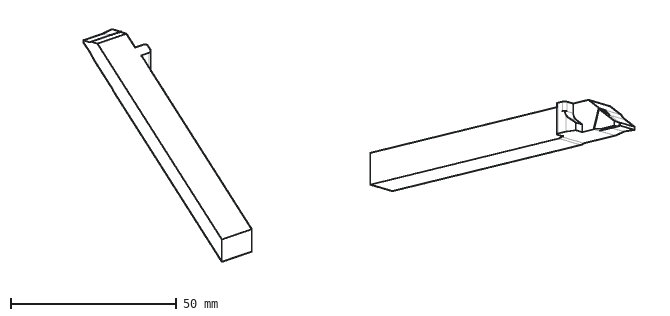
import cadquery as cq
import math

length = 100.0
shank = 10.0
nose_x = 0.7
relief = 0.3
relief_start_x = 21.4
relief_end_x = 22.6

slope = math.tan(math.radians(38))
slope_top_x = 10.9
seat_drop = 0.5
seat_wall_x = 6.4
seat_arc_x = 4.6

insert_width = 3.0
insert_top_drop = 0.2
insert_bottom = -0.2
insert_flat_x = 5.0
insert_end_x = 8.5
insert_taper = 0.4
insert_lift = 0.6

lug_front_x = 13.4
lug_wall_x = 17.1
lug_end_x = 20.9
lug_side_y = 13.5
lug_nose_y = 12.6
lug_flare_x = 16.7
lug_corner = 1.0
lug_nose_z = 2.7
lug_arc_x = 15.8
lug_arc_z = lug_nose_z + slope * (lug_arc_x - lug_front_x)
lug_arc_top_z = 7.0


def slope_z(x):
    """Height of the sloped head face at position x."""
    return shank - slope * (slope_top_x - x)


def along_y(outline, y_start, y_end):
    """Extrude a closed XZ outline between two Y positions."""
    return outline.close().extrude(-(y_end - y_start)).translate((0, y_start, 0))


def make_shank():
    outline = (
        cq.Workplane("XZ")
        .moveTo(nose_x, 2 * relief)
        .lineTo(nose_x, slope_z(nose_x) - seat_drop)
        .lineTo(seat_arc_x, slope_z(seat_arc_x) - seat_drop)
        .tangentArcPoint((seat_wall_x, slope_z(seat_wall_x)), relative=False)
        .lineTo(slope_top_x, shank)
        .lineTo(length, shank)
        .lineTo(length, 0)
        .lineTo(relief_end_x, 0)
        .lineTo(relief_start_x, relief)
        .lineTo(insert_end_x, relief)
        .lineTo(insert_flat_x, 3 * relief)
    )
    bar = along_y(outline, 0, shank)
    side_relief = cq.Workplane("XY").box(lug_wall_x, relief, shank, centered=False)
    return bar.cut(side_relief.translate((0, shank - relief, 0)))


def make_insert():
    outline = (
        cq.Workplane("XZ")
        .moveTo(0, insert_bottom)
        .lineTo(insert_flat_x, insert_bottom)
        .lineTo(insert_end_x, relief)
        .lineTo(seat_wall_x, slope_z(seat_wall_x))
        .lineTo(0, slope_z(0))
    )
    inner_y = shank - insert_width
    blank = along_y(outline, inner_y, shank)
    tip_wedge = (
        cq.Workplane("XY", origin=(0, 0, insert_bottom))
        .polyline([(0, shank), (0, inner_y), (insert_taper, inner_y)])
        .close()
        .extrude(shank)
    )
    under_wedge = (
        cq.Workplane("YZ")
        .polyline([
            (shank - insert_width / 2, insert_bottom),
            (inner_y, insert_bottom),
            (inner_y, insert_bottom + insert_lift),
        ])
        .close()
        .extrude(insert_end_x)
    )
    return blank.cut(tip_wedge).cut(under_wedge)


def make_rake_wedge():
    """Space above the rake face, which follows the head slope and tilts down toward -Y."""
    inner_y = shank - insert_width
    path = cq.Workplane("XZ").moveTo(0, slope_z(0)).lineTo(seat_wall_x, slope_z(seat_wall_x))
    return (
        cq.Workplane("YZ")
        .polyline([
            (shank, slope_z(0) - insert_top_drop),
            (inner_y, slope_z(0) - seat_drop),
            (inner_y, slope_z(0) + seat_drop),
            (shank, slope_z(0) + seat_drop),
        ])
        .close()
        .sweep(path)
    )


def make_lug():
    inner_y = shank - relief
    plan = (
        cq.Workplane("XY", origin=(0, 0, relief))
        .moveTo(lug_front_x, inner_y)
        .lineTo(lug_front_x, lug_nose_y)
        .lineTo(lug_flare_x, lug_side_y)
        .lineTo(lug_end_x, lug_side_y)
        .lineTo(lug_end_x, inner_y)
        .close()
        .extrude(shank - relief)
    )
    plan = plan.edges("|Z and >X and >Y").fillet(lug_corner)
    profile = (
        cq.Workplane("XZ")
        .moveTo(lug_front_x, 0)
        .lineTo(lug_front_x, lug_nose_z)
        .lineTo(lug_arc_x, lug_arc_z)
        .tangentArcPoint((lug_wall_x, lug_arc_top_z), relative=False)
        .lineTo(lug_wall_x, shank)
        .lineTo(lug_end_x, shank)
        .lineTo(lug_end_x, 0)
    )
    lug = plan.intersect(along_y(profile, inner_y, lug_side_y))
    corner = (
        cq.Workplane("XY")
        .moveTo(lug_wall_x, lug_side_y - lug_corner)
        .radiusArc((lug_wall_x + lug_corner, lug_side_y), lug_corner)
        .lineTo(lug_wall_x, lug_side_y)
        .close()
        .extrude(shank - lug_arc_top_z)
        .translate((0, 0, lug_arc_top_z))
    )
    return lug.cut(corner)


head = make_shank().union(make_insert()).cut(make_rake_wedge())
result = head.union(make_lug())